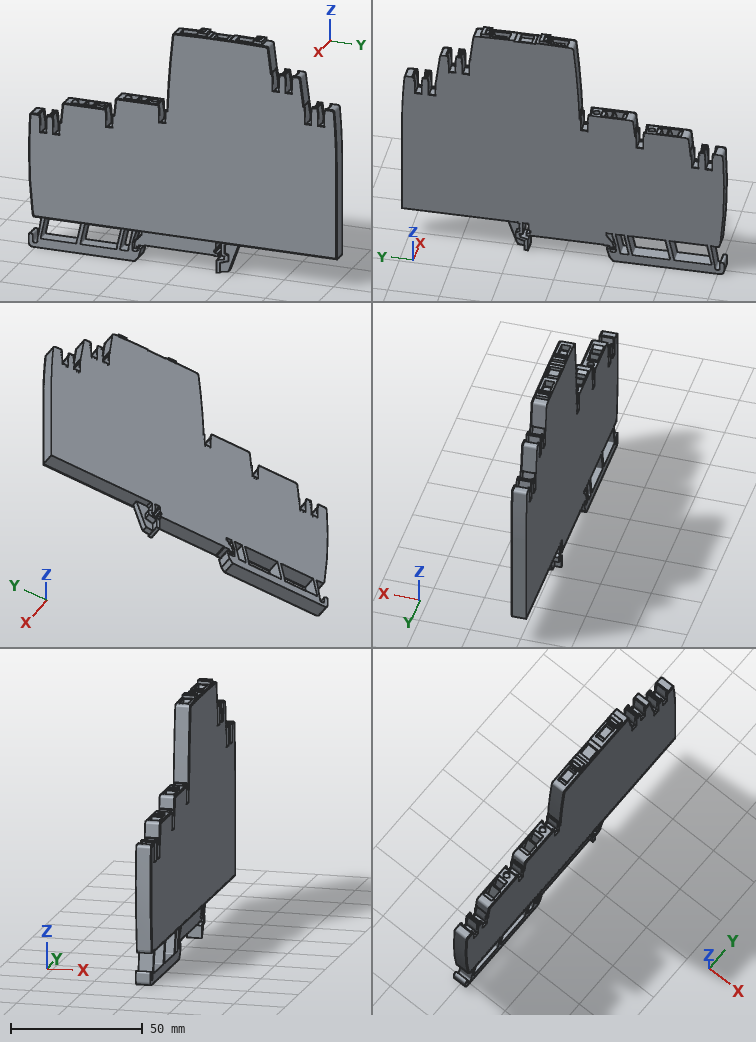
import cadquery as cq
import math


LENGTH = 125.07
HEIGHT = 96.85
THICKNESS = 6.1
COVER_THICKNESS = 0.4
COVER_INSET = 0.35
X_LOW = -THICKNESS / 2
X_COVER = THICKNESS / 2 - COVER_THICKNESS

BASE_Z = 12.4
SLOT_WIDTH = 2.65
SLOT_MOUTH_WIDTH = 3.3
SLOT_SHOULDER = 5.3
SLOT_DEPTH = 7.3
SLOT_PITCH = 5.3
SLOT_SKIN = 0.5
SLOT_CORE_SINK = 0.5
SLOT_CORE_FLARE = 2.7
SLOT_CORE_MOUTH = 4.0
SLOT_CORE_BEVEL = 0.4
CORNER_RADIUS = 1.1

REAR_TOP = 73.3
UPPER_REAR_TOP = 84.9
TOWER_TOP = 95.5
TOWER_CROWN = 0.3
FRONT_TOP = 54.7
TERMINAL_TOP = 65.6
TERMINAL_DROP = 4.9
TERMINAL_PITCH = 21.48
LOWER_TERMINAL_TOP = TERMINAL_TOP - TERMINAL_DROP

REAR_WALL_Y = 124.15
UPPER_REAR_WALL_Y = 110.35
TOWER_REAR_Y = 97.4
TOWER_FRONT_Y = 58.4
TERMINAL_FRONT_Y = 35.2
LOWER_TERMINAL_FRONT_Y = TERMINAL_FRONT_Y - TERMINAL_PITCH
FRONT_WALL_Y = 0.45

REAR_SLOT_Y = 113.4
UPPER_REAR_SLOT_Y = 100.3
TERMINAL_SLOT_Y = 54.25
LOWER_TERMINAL_SLOT_Y = TERMINAL_SLOT_Y - TERMINAL_PITCH
FRONT_SLOT_Y = LOWER_TERMINAL_SLOT_Y - TERMINAL_PITCH

SLOTS = [
    (REAR_SLOT_Y + SLOT_PITCH, REAR_TOP),
    (REAR_SLOT_Y, REAR_TOP),
    (UPPER_REAR_SLOT_Y + SLOT_PITCH, UPPER_REAR_TOP),
    (UPPER_REAR_SLOT_Y, UPPER_REAR_TOP),
    (TERMINAL_SLOT_Y, TERMINAL_TOP),
    (LOWER_TERMINAL_SLOT_Y, LOWER_TERMINAL_TOP),
    (FRONT_SLOT_Y, FRONT_TOP),
    (FRONT_SLOT_Y - SLOT_PITCH, FRONT_TOP),
]

UNIT_PITCH = 22.6
PEG_Y = (90.9, 94.4)
PEG_X = (-2.8, 2.1)
PEG_SLOT_Y = (91.5, 92.9)
PEG_SLOT_X = (-2.1, 1.4)
PEG_SLOT_DEPTH = 0.8
WINDOW_Y = (83.6, 90.2)
WINDOW_X = (-2.1, 1.4)
WINDOW_DEPTH = 1.5
WINDOW_SLOPE_RUN = 0.5
WINDOW_STEP_Y = (83.6, 85.3)
WINDOW_STEP_DEPTH = 2.5
RECESS_Y = (73.3, 81.4)
RECESS_DEPTH = 0.4
CENTRE_WINDOW_Y = (74.7, 79.7)
CENTRE_WINDOW_X = (-2.5, 2.1)
CENTRE_WINDOW_DEPTH = 1.5

SCREW_Y = 50.0
SCREW_X = -0.55
SCREW_DIAMETER = 2.5
SCREW_DEPTH = 1.5
TOOL_HIGH_Y = 48.0
TOOL_X = (-2.5, 1.4)
TOOL_LEDGE_Y = 46.6
TOOL_LEDGE_DEPTH = 0.4
TOOL_DEPTH = 10.0
TOOL_BOTTOM_Y = (43.9, 44.2)
WIRE_Y = (38.3, 43.4)
WIRE_X = (-2.5, 1.7)
WIRE_DEPTH = 10.0
WIRE_BOTTOM_Y = (39.9, 40.2)
WIRE_LEAD_IN = 1.0

FOOT_TOP = 3.85
LEG_LEAN = 1.9
LEG_WINDOWS = [(38.85, 42.1), (22.8, 37.45), (6.65, 21.2)]
WINDOW_FILLET = 0.4
BEAM_END_RADIUS = 1.75

RAIL_Z = 7.0
LIP_Z = 6.75
LATCH_WEB_X = (-0.5, 1.9)
OVERLAP = 0.5


def prism(points, x_low=X_LOW, x_high=X_COVER):
    """Extrude a closed Y-Z polygon along X."""
    return cq.Workplane("YZ").workplane(offset=x_low).polyline(points).close().extrude(x_high - x_low)


def block(x_range, y_range, z_range):
    """Box given by its ranges along X, Y and Z."""
    size = [high - low for low, high in (x_range, y_range, z_range)]
    return cq.Workplane("XY").box(*size, centered=False).translate((x_range[0], y_range[0], z_range[0]))


def shifted(span, offset):
    """Move a (low, high) range by an offset."""
    return (span[0] + offset, span[1] + offset)


def corner_arc(wall, top, inward):
    """Middle and top point of the rounding that joins a wall to the top of a tier."""
    bulge = CORNER_RADIUS * (1 - math.sqrt(0.5))
    return (wall + inward * bulge, top - bulge), (wall + inward * CORNER_RADIUS, top)


def high_y_corner(wall, top):
    """Corner at the high-Y end of a tier, running from its wall up to its top."""
    return corner_arc(wall, top, -1)


def low_y_corner(wall, top):
    """Corner at the low-Y end of a tier, running from its top down to its wall."""
    middle, _ = corner_arc(wall, top, 1)
    return middle, (wall, top - CORNER_RADIUS)


def housing_outline(x):
    """Stepped outline of the housing, without its slots, drawn in the plane at x."""
    terminal_shoulder = TERMINAL_TOP - SLOT_DEPTH + SLOT_SHOULDER
    lower_shoulder = terminal_shoulder - TERMINAL_DROP
    front_shoulder = FRONT_TOP - SLOT_DEPTH + SLOT_SHOULDER
    return (
        cq.Workplane("YZ").workplane(offset=x)
        .moveTo(LENGTH, BASE_Z)
        .lineTo(LENGTH, 51.4)
        .threePointArc((124.8, 62.2), (REAR_WALL_Y, REAR_TOP - CORNER_RADIUS))
        .threePointArc(*high_y_corner(REAR_WALL_Y, REAR_TOP))
        .lineTo(111.75, REAR_TOP)
        .lineTo(UPPER_REAR_WALL_Y, UPPER_REAR_TOP - CORNER_RADIUS)
        .threePointArc(*high_y_corner(UPPER_REAR_WALL_Y, UPPER_REAR_TOP))
        .lineTo(98.6, UPPER_REAR_TOP)
        .lineTo(TOWER_REAR_Y, TOWER_TOP - CORNER_RADIUS)
        .threePointArc(*high_y_corner(TOWER_REAR_Y, TOWER_TOP))
        .threePointArc((78.0, TOWER_TOP + TOWER_CROWN), (TOWER_FRONT_Y + CORNER_RADIUS, TOWER_TOP))
        .threePointArc(*low_y_corner(TOWER_FRONT_Y, TOWER_TOP))
        .threePointArc((57.0, 79.5), (56.1, terminal_shoulder))
        .lineTo(TERMINAL_SLOT_Y, terminal_shoulder)
        .lineTo(TERMINAL_SLOT_Y, TERMINAL_TOP)
        .lineTo(TERMINAL_FRONT_Y + CORNER_RADIUS, TERMINAL_TOP)
        .threePointArc(*low_y_corner(TERMINAL_FRONT_Y, TERMINAL_TOP))
        .lineTo(34.6, lower_shoulder)
        .lineTo(LOWER_TERMINAL_SLOT_Y, lower_shoulder)
        .lineTo(LOWER_TERMINAL_SLOT_Y, LOWER_TERMINAL_TOP)
        .lineTo(LOWER_TERMINAL_FRONT_Y + CORNER_RADIUS, LOWER_TERMINAL_TOP)
        .threePointArc(*low_y_corner(LOWER_TERMINAL_FRONT_Y, LOWER_TERMINAL_TOP))
        .lineTo(13.0, front_shoulder)
        .lineTo(FRONT_SLOT_Y, front_shoulder)
        .lineTo(FRONT_SLOT_Y, FRONT_TOP)
        .lineTo(FRONT_WALL_Y + CORNER_RADIUS, FRONT_TOP)
        .threePointArc(*low_y_corner(FRONT_WALL_Y, FRONT_TOP))
        .threePointArc((0.0, 39.9), (1.5, 13.6))
        .lineTo(2.0, BASE_Z)
        .close()
    )


def slot(y, top):
    """Slot through the whole thickness, deeper and more widely flared between the side skins."""
    floor = top - SLOT_DEPTH
    shoulder = floor + SLOT_SHOULDER
    half = SLOT_WIDTH / 2
    mouth = SLOT_MOUTH_WIDTH / 2
    through = prism(
        [(y - half, floor), (y + half, floor), (y + half, shoulder), (y + mouth, top),
         (y - mouth, top), (y - half, shoulder)],
        X_LOW, -X_LOW,
    )
    core_floor = floor - SLOT_CORE_SINK
    flare = floor + SLOT_CORE_FLARE
    core_mouth = SLOT_CORE_MOUTH / 2
    core_edge = core_mouth + SLOT_CORE_BEVEL
    bevel_start = top - SLOT_CORE_BEVEL
    core = prism(
        [(y - half, core_floor), (y + half, core_floor), (y + half, flare),
         (y + core_mouth, bevel_start), (y + core_edge, top), (y - core_edge, top),
         (y - core_mouth, bevel_start), (y - half, flare)],
        X_LOW + SLOT_SKIN, X_COVER - SLOT_SKIN,
    )
    return through.union(core)


def housing():
    body = housing_outline(X_LOW).extrude(X_COVER - X_LOW)
    cover = housing_outline(X_COVER).offset2D(-COVER_INSET).extrude(COVER_THICKNESS)
    body = body.union(cover)
    for y, top in SLOTS:
        body = body.cut(slot(y, top))
    return body


def add_tower_features(body):
    top = HEIGHT
    seat = TOWER_TOP
    body = body.cut(block((X_LOW, X_COVER), RECESS_Y, (seat + TOWER_CROWN - RECESS_DEPTH, top)))
    body = body.cut(block(CENTRE_WINDOW_X, CENTRE_WINDOW_Y, (seat - CENTRE_WINDOW_DEPTH, top)))
    for offset in (0, -UNIT_PITCH):
        peg = block(PEG_X, shifted(PEG_Y, offset), (seat - OVERLAP, top))
        peg_slot = block(PEG_SLOT_X, shifted(PEG_SLOT_Y, offset), (top - PEG_SLOT_DEPTH, top))
        low, high = shifted(WINDOW_Y, offset)
        floor = seat - WINDOW_DEPTH
        window = prism(
            [(low, floor), (high - WINDOW_SLOPE_RUN, floor), (high, seat), (high, top), (low, top)],
            *WINDOW_X,
        )
        step = block(WINDOW_X, shifted(WINDOW_STEP_Y, offset), (seat - WINDOW_STEP_DEPTH, top))
        body = body.union(peg).cut(peg_slot).cut(window).cut(step)
    return body


def cut_terminal(body, offset, top):
    """Screw hole, tool opening and wire funnel of one terminal tier."""
    screw = (
        cq.Workplane("XY").workplane(offset=top - SCREW_DEPTH)
        .center(SCREW_X, SCREW_Y + offset).circle(SCREW_DIAMETER / 2).extrude(SCREW_DEPTH)
    )
    tool_bottom = shifted(TOOL_BOTTOM_Y, offset)
    tool_edge = TOOL_HIGH_Y + offset
    ledge_edge = TOOL_LEDGE_Y + offset
    tool = prism(
        [(tool_bottom[0], top), (tool_bottom[0], top - TOOL_DEPTH), (tool_bottom[1], top - TOOL_DEPTH),
         (ledge_edge, top - TOOL_LEDGE_DEPTH), (tool_edge, top - TOOL_LEDGE_DEPTH), (tool_edge, top)],
        *TOOL_X,
    )
    wire_low, wire_high = shifted(WIRE_Y, offset)
    wire_bottom = shifted(WIRE_BOTTOM_Y, offset)
    wire = prism(
        [(wire_low, top), (wire_bottom[0], top - WIRE_LEAD_IN), (wire_bottom[0], top - WIRE_DEPTH),
         (wire_bottom[1], top - WIRE_DEPTH), (wire_high, top)],
        *WIRE_X,
    )
    return body.cut(screw).cut(tool).cut(wire)


def rail_seat():
    """Block that rests on the rail, with a lip at each end."""
    return prism([
        (76.2, BASE_Z + OVERLAP), (76.2, 12.2), (75.85, 11.8), (75.85, 9.7), (75.1, 8.7), (75.4, 8.1),
        (76.75, 7.95), (76.75, LIP_Z), (75.3, LIP_Z), (75.3, RAIL_Z), (47.0, RAIL_Z), (46.7, LIP_Z),
        (44.6, LIP_Z), (44.5, 6.1), (43.55, 6.1), (43.55, 5.3), (42.65, 5.3), (42.8, 6.0),
        (43.2, 8.3), (45.8, 11.6), (45.8, BASE_Z + OVERLAP),
    ])


def latch():
    """Sprung rail latch: a full-width hook strip backed by a narrower web."""
    strip = prism([
        (80.2, BASE_Z + OVERLAP), (80.2, 12.4), (79.4, 11.7), (79.4, 8.4), (80.9, 7.6), (80.9, 5.35),
        (77.5, 4.2), (77.5, 0.2), (76.1, 0.0), (76.1, 5.0), (77.4, 5.55), (79.1, 5.85),
        (79.4, 7.15), (78.1, 7.3), (78.1, BASE_Z + OVERLAP),
    ])
    web = prism(
        [(85.1, BASE_Z + OVERLAP), (83.5, 8.6), (81.0, 1.6), (80.5, 0.75), (77.0, 0.2), (77.0, 4.3),
         (80.4, 5.6), (80.4, 7.7), (79.0, 8.4), (79.0, BASE_Z + OVERLAP)],
        *LATCH_WEB_X,
    )
    return strip.union(web)


def foot():
    """Beam under the low-Y half, carried by leaning legs, with an upturned end and a hook."""
    bulge = BEAM_END_RADIUS * (1 - math.sqrt(0.5))
    beam = (
        cq.Workplane("YZ").workplane(offset=X_LOW)
        .moveTo(43.4, BASE_Z + OVERLAP)
        .lineTo(43.4, 11.6)
        .lineTo(42.0, 7.3)
        .lineTo(42.0, 4.6)
        .threePointArc((43.1, 4.1), (44.2, 4.6))
        .lineTo(44.2, 5.5)
        .lineTo(45.55, 5.5)
        .lineTo(44.5, 1.8)
        .lineTo(43.0, 0.0)
        .lineTo(BEAM_END_RADIUS, 0.0)
        .threePointArc((bulge, bulge), (0.0, BEAM_END_RADIUS))
        .lineTo(0.0, 4.7)
        .threePointArc((0.85, 5.5), (1.7, 4.7))
        .lineTo(1.7, 2.6)
        .threePointArc((2.6, 1.8), (3.5, 2.6))
        .lineTo(3.6, 3.6)
        .lineTo(5.1, BASE_Z)
        .lineTo(5.1, BASE_Z + OVERLAP)
        .close()
        .extrude(X_COVER - X_LOW)
    )
    for low, high in LEG_WINDOWS:
        opening = prism([
            (low, BASE_Z), (high, BASE_Z), (high - LEG_LEAN, FOOT_TOP), (low - LEG_LEAN, FOOT_TOP),
        ])
        beam = beam.cut(opening.edges("|X").edges("<Z").fillet(WINDOW_FILLET))
    return beam


part = add_tower_features(housing())
part = cut_terminal(part, 0, TERMINAL_TOP)
part = cut_terminal(part, -TERMINAL_PITCH, LOWER_TERMINAL_TOP)
part = part.union(rail_seat()).union(latch()).union(foot())
result = part.translate((0, -LENGTH / 2, -HEIGHT / 2))